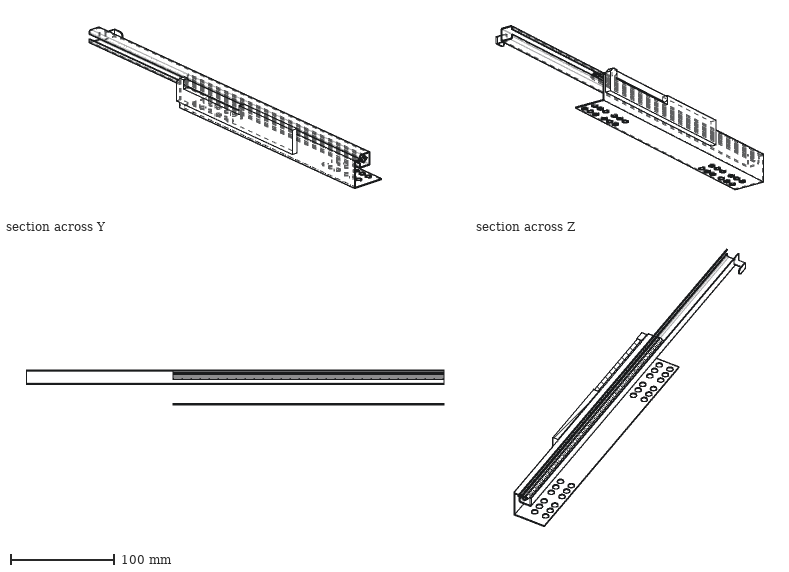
import cadquery as cq
import math

SHEET = 1.2
SLIDE_END = 404.0

RAIL_FRONT_Y = 11.8
RAIL_BACK_Y = 25.5
RAIL_BOTTOM_Z = 19.5
RAIL_TOP_Z = 33.7
RAIL_LIP_RADIUS = 2.5
RAIL_BACK_RADIUS = 1.5
SLOT_BOTTOM_Z = 24.3
SLOT_TOP_Z = 29.5

HOOK_X = 8.0
HOOK_BACK_Y = 37.7
HOOK_LENGTH = 12.2
HOOK_BOTTOM_Z = 23.1
HOOK_HEIGHT = 7.3
HOOK_TIP_RADIUS = 3.5

CABINET_START = 142.0
CABINET_LENGTH = SLIDE_END - CABINET_START
WALL_Y = 6.0
FLANGE_BACK_Y = 40.0
ARM_TOP_Z = 29.2
RETURN_LIP_GAP = 0.8
RETURN_LIP_END_Y = 10.9
GUIDE_Y = 17.6
GUIDE_HALF_DIAGONAL = 4.4
GUIDE_Z = ARM_TOP_Z - SHEET

HOLE_DIAMETER = 6.2
HOLE_ROWS_Y = [22.0, 34.0]
FIRST_HOLE_X = CABINET_START + 7.0
HOLE_STEP = 9.0
HOLES_PER_GROUP = 3
SYSTEM_PITCH = 32.0
GROUP_OFFSETS = [0, SYSTEM_PITCH, 6 * SYSTEM_PITCH, 7 * SYSTEM_PITCH]

HOUSING_START = 144.5
HOUSING_LENGTH = 173.5
HOUSING_BOTTOM_Z = 9.5
HOUSING_TOP_Z = 35.0
HOUSING_CHAMFER = 5.0
NOTCH_START = 155.0
NOTCH_LENGTH = 83.0
NOTCH_BOTTOM_Z = 25.5
DAMPER_DIAMETER = WALL_Y


def along_x(start):
    """Sketch plane for cross-sections: local x is +Y, local y is +Z, extruded toward +X."""
    return cq.Workplane("YZ", origin=(start, 0, 0))


def block(x, y, z):
    """Box spanning the given (low, high) range on each axis."""
    size = [high - low for low, high in (x, y, z)]
    return cq.Workplane("XY").box(*size, centered=False).translate((x[0], y[0], z[0]))


def rounded_bar(inset):
    """Full-length bar with the outline of the drawer rail, shrunk by the inset."""
    bar = block(
        (0, SLIDE_END),
        (RAIL_FRONT_Y + inset, RAIL_BACK_Y - inset),
        (RAIL_BOTTOM_Z + inset, RAIL_TOP_Z - inset),
    )
    bar = bar.edges("|X and <Y").fillet(RAIL_LIP_RADIUS - inset)
    return bar.edges("|X and >Y").fillet(RAIL_BACK_RADIUS - inset)


def make_hook():
    """Plate standing out from the rail, bent rearward at its far end."""
    outline = (
        cq.Workplane("XY", origin=(0, 0, HOOK_BOTTOM_Z))
        .moveTo(HOOK_X, RAIL_BACK_Y)
        .lineTo(HOOK_X, HOOK_BACK_Y)
        .lineTo(HOOK_X + HOOK_LENGTH, HOOK_BACK_Y)
        .lineTo(HOOK_X + HOOK_LENGTH, HOOK_BACK_Y - SHEET)
        .lineTo(HOOK_X + SHEET, HOOK_BACK_Y - SHEET)
        .lineTo(HOOK_X + SHEET, RAIL_BACK_Y)
        .close()
    )
    return outline.extrude(HOOK_HEIGHT).edges("|Y and >X").fillet(HOOK_TIP_RADIUS)


def make_drawer_rail():
    rail = rounded_bar(0).cut(rounded_bar(SHEET))
    slot = block(
        (0, SLIDE_END),
        (RAIL_FRONT_Y, RAIL_FRONT_Y + SHEET),
        (SLOT_BOTTOM_Z, SLOT_TOP_Z),
    )
    return rail.cut(slot).union(make_hook())


def diamond(half_diagonal):
    """Cabinet-length square bar standing on its edge, centred on the guide."""
    square = along_x(CABINET_START).center(GUIDE_Y, GUIDE_Z).polygon(4, 2 * half_diagonal)
    return square.extrude(CABINET_LENGTH)


def make_cabinet_profile():
    x_span = (CABINET_START, SLIDE_END)
    flange = block(x_span, (WALL_Y, FLANGE_BACK_Y), (0, SHEET))
    wall = block(x_span, (WALL_Y, WALL_Y + SHEET), (0, ARM_TOP_Z))
    arm = block(
        x_span,
        (WALL_Y + SHEET, GUIDE_Y + GUIDE_HALF_DIAGONAL - SHEET),
        (ARM_TOP_Z - SHEET, ARM_TOP_Z),
    )
    lip_top = ARM_TOP_Z - SHEET - RETURN_LIP_GAP
    return_lip = block(
        x_span,
        (RETURN_LIP_END_Y, GUIDE_Y - GUIDE_HALF_DIAGONAL / 2),
        (lip_top - SHEET, lip_top),
    )
    hollow_half_diagonal = GUIDE_HALF_DIAGONAL - SHEET * math.sqrt(2)
    guide = diamond(GUIDE_HALF_DIAGONAL).cut(diamond(hollow_half_diagonal))
    profile = flange.union(wall).union(guide).union(arm).union(return_lip)
    centres = [
        (FIRST_HOLE_X + offset + HOLE_STEP * index, row_y)
        for row_y in HOLE_ROWS_Y
        for offset in GROUP_OFFSETS
        for index in range(HOLES_PER_GROUP)
    ]
    holes = cq.Workplane("XY").pushPoints(centres).circle(HOLE_DIAMETER / 2).extrude(SHEET)
    return profile.cut(holes)


def make_housing():
    body = block(
        (HOUSING_START, HOUSING_START + HOUSING_LENGTH),
        (0, WALL_Y),
        (HOUSING_BOTTOM_Z, HOUSING_TOP_Z),
    )
    body = body.edges("|Y and <X and >Z").chamfer(HOUSING_CHAMFER)
    notch = block(
        (NOTCH_START, NOTCH_START + NOTCH_LENGTH),
        (0, WALL_Y),
        (NOTCH_BOTTOM_Z, HOUSING_TOP_Z),
    )
    return body.cut(notch)


def make_damper():
    radius = DAMPER_DIAMETER / 2
    section = along_x(NOTCH_START).center(radius, HOUSING_TOP_Z - radius).circle(radius)
    return section.extrude(NOTCH_LENGTH)


drawer_rail = make_drawer_rail()
cabinet_profile = make_cabinet_profile()
housing = make_housing()
damper = make_damper()

result = cq.Compound.makeCompound([
    drawer_rail.val(),
    cabinet_profile.val(),
    housing.val(),
    damper.val(),
])